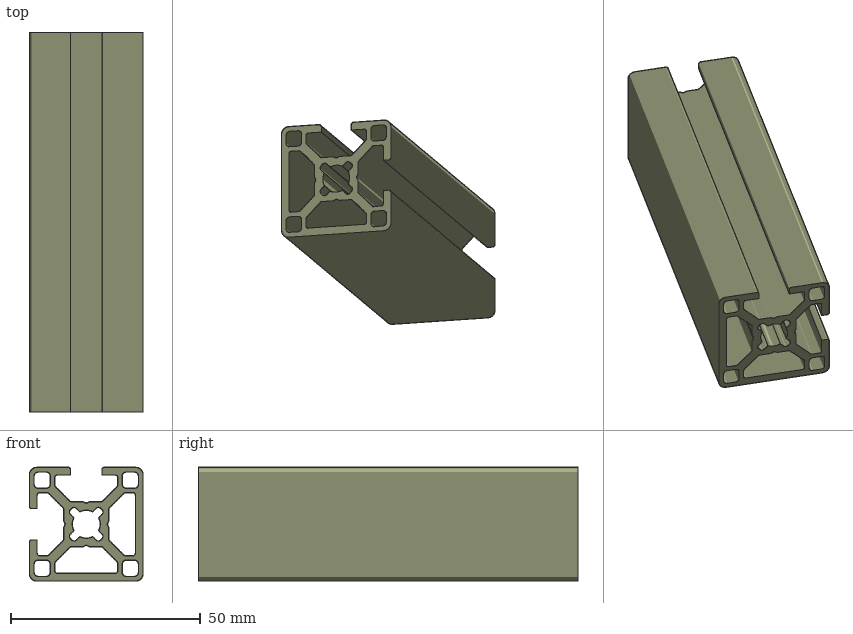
import cadquery as cq

SIZE = 30.0
LENGTH = 100.0
HALF = SIZE / 2
OUTER_RADIUS = 2.0

WALL = 2.1
ROOF = HALF - WALL
SLOT_HALF_WIDTH = 4.1
LIP_CHAMFER = 0.45
LIP_RADIUS = 0.4
CHANNEL_HALF_WIDTH = 8.25
CHANNEL_RADIUS = 0.6
CORE_HALF = 5.95
CORE_FLAT_HALF = 4.15
WEB_RADIUS = 0.5
GROOVE_HALF_WIDTH = 0.9
GROOVE_DEPTH = 0.4
GROOVE_RADIUS = 0.1

HOLLOW_SIZE = 4.2
HOLLOW_CENTRE = 11.6
HOLLOW_RADIUS = 1.0

BORE_RADIUS = 3.65
RELIEF_WIDTH = 2.2
RELIEF_REACH = 5.6
RELIEF_RADIUS = 0.8
RELIEF_ANGLE = 45

EDGE_MARGIN = 0.05

OPEN_SIDES = (0, 90)
CLOSED_SIDES = (180, 270)


def extrude(sketch):
    """Extrude a closed XZ outline over the full length, centred on Y."""
    return sketch.extrude(LENGTH / 2, both=True)


def turned(solid, angle):
    """Turn a solid about the profile's axis; positive angles carry +Z towards -X."""
    return solid.rotate((0, 0, 0), (0, 1, 0), -angle)


def rounded_rectangle(width, height, radius, x=0.0, z=0.0):
    """Full-length bar of rectangular section, centred at (x, z), with its long edges rounded."""
    block = extrude(cq.Workplane("XZ").center(x, z).rect(width, height))
    return block.edges("|Y").fillet(radius)


def mirrored_prism(right_points):
    """Extrude the outline through the given +X points and their mirror images in -X."""
    left_points = [(-x, z) for x, z in reversed(right_points) if x > 0]
    return extrude(cq.Workplane("XZ").polyline(right_points + left_points).close())


def edges_between(solid, half_width, z_low, z_high):
    """Lengthwise edges lying within half_width of the YZ plane and between two heights."""
    box = cq.selectors.BoxSelector((-half_width, -LENGTH, z_low), (half_width, LENGTH, z_high))
    return solid.edges("|Y").edges(box)


def channel():
    """Trapezoidal chamber under the +Z wall, with a V-groove along the middle of its floor."""
    web_end = CORE_HALF + CHANNEL_HALF_WIDTH - CORE_FLAT_HALF
    chamber = mirrored_prism([
        (0, CORE_HALF - GROOVE_DEPTH),
        (GROOVE_HALF_WIDTH, CORE_HALF),
        (CORE_FLAT_HALF, CORE_HALF),
        (CHANNEL_HALF_WIDTH, web_end),
        (CHANNEL_HALF_WIDTH, ROOF),
    ])
    chamber = chamber.edges("|Y and >Z").fillet(CHANNEL_RADIUS)
    groove_edges = edges_between(chamber, CORE_FLAT_HALF - EDGE_MARGIN, 0, ROOF - CHANNEL_RADIUS)
    chamber = groove_edges.fillet(GROOVE_RADIUS)
    for z in (CORE_HALF, web_end):
        level_edges = edges_between(chamber, HALF, z - EDGE_MARGIN, z + EDGE_MARGIN)
        web_edges = level_edges.filter(lambda edge: abs(edge.Center().x) > CORE_FLAT_HALF - EDGE_MARGIN)
        chamber = web_edges.fillet(WEB_RADIUS)
    return chamber


def slot_mouth():
    """Opening through the +Z wall, its outer corners chamfered and the chamfers blended."""
    flange_half_width = SLOT_HALF_WIDTH + 2 * LIP_CHAMFER
    mouth = mirrored_prism([
        (SLOT_HALF_WIDTH, ROOF),
        (SLOT_HALF_WIDTH, HALF - LIP_CHAMFER),
        (SLOT_HALF_WIDTH + LIP_CHAMFER, HALF),
        (flange_half_width, HALF),
        (flange_half_width, HALF + LIP_CHAMFER),
    ])
    chamfer_half_width = SLOT_HALF_WIDTH + LIP_CHAMFER + EDGE_MARGIN
    lip_edges = edges_between(mouth, chamfer_half_width, ROOF + EDGE_MARGIN, HALF + EDGE_MARGIN)
    return lip_edges.fillet(LIP_RADIUS)


def central_bore():
    """Round bore crossed by two round-cornered slots along the diagonals."""
    bore = extrude(cq.Workplane("XZ").circle(BORE_RADIUS))
    relief = rounded_rectangle(2 * RELIEF_REACH, RELIEF_WIDTH, RELIEF_RADIUS)
    return bore.union(turned(relief, RELIEF_ANGLE)).union(turned(relief, -RELIEF_ANGLE))


profile = rounded_rectangle(SIZE, SIZE, OUTER_RADIUS)

for side in OPEN_SIDES + CLOSED_SIDES:
    profile = profile.cut(turned(channel(), side))

for side in OPEN_SIDES:
    profile = profile.cut(turned(slot_mouth(), side))

for x in (-HOLLOW_CENTRE, HOLLOW_CENTRE):
    for z in (-HOLLOW_CENTRE, HOLLOW_CENTRE):
        profile = profile.cut(rounded_rectangle(HOLLOW_SIZE, HOLLOW_SIZE, HOLLOW_RADIUS, x, z))

result = profile.cut(central_bore())